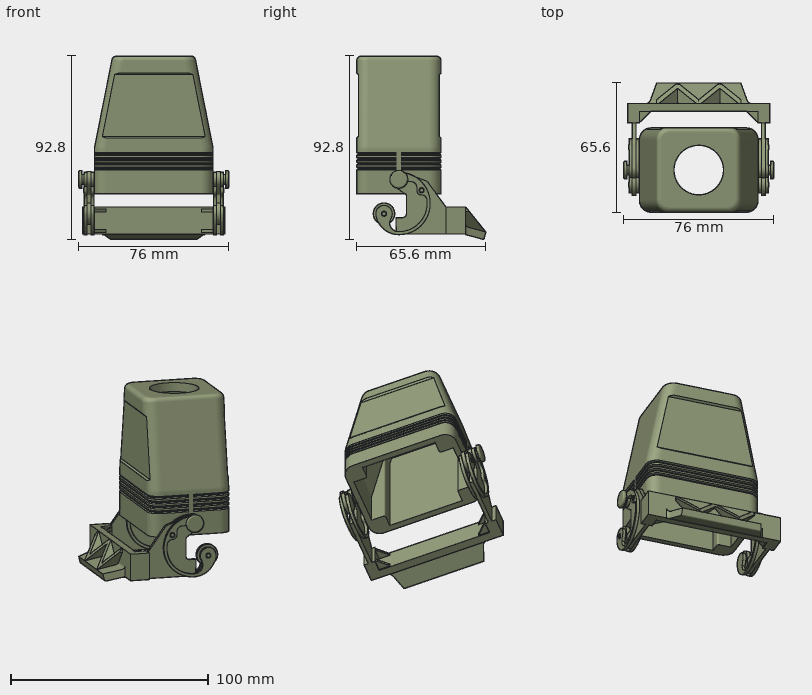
import cadquery as cq
import math

hood_width = 60.2
hood_depth = 42.9
hood_height = 69.8
taper_start = 23.2
taper_angle = 11.2
taper_blend_radius = 6.0
hood_corner_radius = 6.0
hood_top_radius = 2.5
wall = 3.0
roof = 4.6
cable_hole_diameter = 25.0

panel_bottom = 28.2
panel_top = 61.3
panel_depth = 0.9

groove_count = 4
groove_top_center = 20.2
groove_bottom_center = 12.8
groove_pitch = (groove_top_center - groove_bottom_center) / (groove_count - 1)
groove_mouth = 1.5
groove_floor = 0.5
groove_depth = 0.65
bridge_width = 2.8

post_face_x = 19.8
post_face_y = 12.2
post_radius = 1.0

pivot_z = 7.3
pin_radius = 2.5
pin_head_radius = 4.55
pin_head_thickness = 1.6
pin_head_round = 0.8
overall_width = 76.0

spring_inner_x = 30.2
spring_thickness = 1.6
middle_thickness = 1.95
middle_hub_radius = 4.1
spring_hub_radius = 3.7

spring_outer_bottom = -20.7
spring_inner_radius = 14.3
neck_radius = 4.7
hook_y = -7.5
hook_z = -10.0
hook_radius = 4.2
roller_radius = 5.5
lobe_y = 11.5
lobe_z = 1.9
lobe_radius = 2.4
lobe_blend_radius = 2.5
shoulder_z = 6.2
shoulder_radius = 3.0
rivet_radius = 1.3
rivet_height = 0.325
rivet_chamfer = 0.3

bar_length = 72.0
bar_top = -6.6
bar_bottom = -20.4
bar_back = 33.8
bar_front = 29.7
leg_front = 23.9
leg_inner_x = 30.1
gusset_length = 5.9
gusset_thickness = 1.6
gusset_inset = 0.9

plate_shoulder_y = 14.3
plate_shoulder_z = 6.4
plate_shoulder_radius = 1.9
jaw_y = 3.8
jaw_corner_z = -0.6
jaw_corner_radius = 0.9
jaw_floor_z = -12.0
jaw_floor_radius = 2.0
plate_tip_y = -1.6
plate_tip_drop = 2.7
plate_tip_lean = 0.4

tongue_tilt = 15.0
tongue_thickness = 4.0
tongue_tip_y = 44.1
tongue_tip_z = -19.3
tongue_tip_width = 42.7
tongue_root_width = 49.2
tongue_root_blend = 1.4
tongue_end_round = 0.65
trough_half_width = 10.7
trough_rim = 2.2
hollow_half_width = 9.4


def tapered_block(inset, top):
    """Sharp-edged block in the shape of the hood, shrunk on its sides by an inset."""
    half_width = hood_width / 2 - inset
    top_half_width = half_width - (top - taper_start) * math.tan(math.radians(taper_angle))
    depth = hood_depth - 2 * inset
    return (
        cq.Workplane("XZ", origin=(0, depth / 2, 0))
        .polyline([
            (-half_width, 0),
            (half_width, 0),
            (half_width, taper_start),
            (top_half_width, top),
            (-top_half_width, top),
            (-half_width, taper_start),
        ])
        .close()
        .extrude(depth)
    )


def hood_body():
    """Solid hood with every outer edge rounded."""
    body = tapered_block(0, hood_height)
    for side in (-1, 1):
        taper_edge = cq.selectors.NearestToPointSelector((side * hood_width / 2, 0, taper_start))
        body = body.edges("|Y").edges(taper_edge).fillet(taper_blend_radius)
    body = body.faces("<Y or >Y").edges("not(<Z or >Z)").fillet(hood_corner_radius)
    return body.faces(">Z").edges().fillet(hood_top_radius)


def panel_cutters():
    """Bars with 45 degree ends that recess the front and back faces."""
    face = hood_depth / 2
    profile = [
        (face, panel_bottom),
        (face, panel_top),
        (face - panel_depth, panel_top - panel_depth),
        (face - panel_depth, panel_bottom + panel_depth),
    ]
    back = cq.Workplane("YZ").polyline(profile).close().extrude(hood_width / 2, both=True)
    return back.union(back.mirror("XZ"))


def groove_cutter(center_z):
    """One trapezoidal groove running round the hood."""
    path = (
        cq.Workplane("XY", origin=(0, 0, center_z))
        .rect(hood_width, hood_depth)
        .extrude(groove_mouth)
        .edges("|Z")
        .fillet(hood_corner_radius)
        .faces("<Z")
        .wires()
        .val()
    )
    face = hood_depth / 2
    return (
        cq.Workplane("YZ")
        .polyline([
            (face, center_z - groove_mouth / 2),
            (face, center_z + groove_mouth / 2),
            (face - groove_depth, center_z + groove_floor / 2),
            (face - groove_depth, center_z - groove_floor / 2),
        ])
        .close()
        .sweep(cq.Workplane(path), transition="round")
    )


def cavity():
    """Inside of the hood, less the four corner posts."""
    ceiling = hood_height - roof
    inside = tapered_block(wall, ceiling)
    post_size = hood_width / 2 - post_face_x
    post_depth = hood_depth / 2 - post_face_y
    for side_x in (-1, 1):
        for side_y in (-1, 1):
            post = (
                cq.Workplane("XY")
                .center(side_x * (post_face_x + post_size / 2), side_y * (post_face_y + post_depth / 2))
                .rect(post_size, post_depth)
                .extrude(ceiling)
                .edges("|Z")
                .fillet(post_radius)
            )
            inside = inside.cut(post)
    return inside


def make_hood():
    hood = hood_body().cut(panel_cutters())
    for index in range(groove_count):
        hood = hood.cut(groove_cutter(groove_top_center - index * groove_pitch))
    bridge_height = groove_top_center - groove_bottom_center + groove_mouth
    bridge_center_z = (groove_top_center + groove_bottom_center) / 2
    for side in (-1, 1):
        bridge_x = side * (hood_width / 2 - groove_depth / 2)
        bridge = cq.Workplane("XY").box(groove_depth, bridge_width, bridge_height)
        hood = hood.union(bridge.translate((bridge_x, 0, bridge_center_z)))
    cable_hole = cq.Workplane("XY").circle(cable_hole_diameter / 2).extrude(hood_height)
    return hood.cut(cavity()).cut(cable_hole)


def side_plane(x):
    """YZ sketch plane at the given X."""
    return cq.Workplane("YZ", origin=(x, 0, 0))


def disc(x, y, z, radius, thickness):
    return side_plane(x).center(y, z).circle(radius).extrude(thickness)


def tangent_point(point, radius, side):
    """Point where a line from the given point touches a circle about the pivot."""
    distance = math.hypot(point[0], point[1] - pivot_z)
    bearing = math.atan2(point[1] - pivot_z, point[0])
    angle = bearing + side * math.acos(radius / distance)
    return (radius * math.cos(angle), pivot_z + radius * math.sin(angle))


def make_pin():
    head_back = overall_width / 2 - pin_head_thickness
    shaft_start = hood_width / 2 - wall / 2
    head = disc(head_back, 0, pivot_z, pin_head_radius, pin_head_thickness)
    head = head.faces(">X").edges().fillet(pin_head_round)
    return head.union(disc(shaft_start, 0, pivot_z, pin_radius, head_back - shaft_start))


def make_spring_plate(x):
    """Crescent from the pivot hub, past the riveted lobe, round to the hook."""
    outer_top = pivot_z + spring_hub_radius
    center_z = (outer_top + spring_outer_bottom) / 2
    outer_radius = outer_top - center_z

    rise = hook_z - spring_outer_bottom
    under_radius = (hook_y**2 + rise**2 - hook_radius**2) / (2 * (rise - hook_radius))
    under_z = spring_outer_bottom + under_radius
    under_end = math.atan2(hook_z - under_z, hook_y)
    under_middle = (under_end - math.pi / 2) / 2

    def under_point(angle):
        return (under_radius * math.cos(angle), under_z + under_radius * math.sin(angle))

    half = math.sqrt(0.5)
    neck_bottom = center_z - spring_inner_radius
    neck_z = neck_bottom + neck_radius
    lobe_bottom = lobe_z - lobe_radius
    lobe_side = lobe_y - lobe_radius
    blend_z = lobe_bottom - lobe_blend_radius
    blend_y = math.sqrt(spring_inner_radius**2 - (blend_z - center_z) ** 2)
    blend_mid_y = lobe_y + (blend_y - lobe_y) * half
    shoulder_y = lobe_side - shoulder_radius
    shoulder_center_z = shoulder_z - shoulder_radius

    crescent = (
        side_plane(x)
        .moveTo(0, outer_top)
        .threePointArc((outer_radius, center_z), (0, spring_outer_bottom))
        .threePointArc(under_point(under_middle), under_point(under_end))
        .lineTo(hook_y, hook_z)
        .lineTo(hook_y + hook_radius, hook_z)
        .lineTo(-neck_radius, neck_z)
        .threePointArc((-neck_radius * half, neck_z - neck_radius * half), (0, neck_bottom))
        .threePointArc(
            (spring_inner_radius * half, center_z - spring_inner_radius * half),
            (blend_y, blend_z),
        )
        .threePointArc((blend_mid_y, blend_z + lobe_blend_radius * half), (lobe_y, lobe_bottom))
        .threePointArc(
            (lobe_y - lobe_radius * half, lobe_z - lobe_radius * half),
            (lobe_side, lobe_z),
        )
        .lineTo(lobe_side, shoulder_center_z)
        .threePointArc(
            (shoulder_y + shoulder_radius * half, shoulder_center_z + shoulder_radius * half),
            (shoulder_y, shoulder_z),
        )
        .lineTo(0, shoulder_z)
        .close()
        .extrude(spring_thickness)
    )
    hub = disc(x, 0, pivot_z, spring_hub_radius, spring_thickness)
    hook = disc(x, hook_y, hook_z, hook_radius, spring_thickness)
    return crescent.union(hub).union(hook)


def make_middle_plate(x):
    """Plate from the crossbar up to the pivot hub, open at the jaw."""
    shoulder = (plate_shoulder_y, plate_shoulder_z)
    jaw_corner = (jaw_y, jaw_corner_z)
    plate = (
        side_plane(x)
        .polyline([
            (leg_front, bar_bottom),
            (leg_front, bar_top),
            shoulder,
            tangent_point(shoulder, middle_hub_radius, 1),
            (0, pivot_z),
            tangent_point(jaw_corner, middle_hub_radius, -1),
            jaw_corner,
            (jaw_y, jaw_floor_z),
            (plate_tip_y, jaw_floor_z),
            (plate_tip_y, jaw_floor_z - plate_tip_drop),
            (plate_tip_y + plate_tip_lean, bar_bottom),
        ])
        .close()
        .extrude(middle_thickness)
    )
    rounds = [
        (plate_shoulder_y, plate_shoulder_z, plate_shoulder_radius),
        (jaw_y, jaw_corner_z, jaw_corner_radius),
        (jaw_y, jaw_floor_z, jaw_floor_radius),
    ]
    for y, z, radius in rounds:
        corner = cq.selectors.NearestToPointSelector((x + middle_thickness / 2, y, z))
        plate = plate.edges("|X").edges(corner).fillet(radius)
    return plate.union(disc(x, 0, pivot_z, middle_hub_radius, middle_thickness))


def make_arm():
    """Lever arm on the +X side, with its pivot pin."""
    middle_x = spring_inner_x + spring_thickness
    outer_x = middle_x + middle_thickness
    arm = make_middle_plate(middle_x)
    arm = arm.union(disc(middle_x, hook_y, hook_z, roller_radius, middle_thickness))
    arm = arm.union(make_spring_plate(spring_inner_x))
    arm = arm.union(make_spring_plate(outer_x))
    for y, z in ((lobe_y, lobe_z), (hook_y, hook_z)):
        rivet = disc(outer_x + spring_thickness, y, z, rivet_radius, rivet_height)
        arm = arm.union(rivet.faces(">X").edges().chamfer(rivet_chamfer))
    return arm.union(make_pin())


def make_crossbar():
    half_length = bar_length / 2
    bar = (
        cq.Workplane("XY", origin=(0, 0, bar_bottom))
        .polyline([
            (-half_length, bar_back),
            (half_length, bar_back),
            (half_length, leg_front),
            (leg_inner_x, leg_front),
            (leg_inner_x, bar_front),
            (-leg_inner_x, bar_front),
            (-leg_inner_x, leg_front),
            (-half_length, leg_front),
        ])
        .close()
        .extrude(bar_top - bar_bottom)
    )
    gusset_levels = (bar_bottom + gusset_inset, bar_top - gusset_inset - gusset_thickness)
    for level in gusset_levels:
        for side in (-1, 1):
            gusset = (
                cq.Workplane("XY", origin=(0, 0, level))
                .polyline([
                    (side * leg_inner_x, bar_front),
                    (side * leg_inner_x, leg_front),
                    (side * (leg_inner_x - gusset_length), bar_front),
                ])
                .close()
                .extrude(gusset_thickness)
            )
            bar = bar.union(gusset)
    return bar


def make_tongue():
    """Tilted tongue narrowing to its tip, blended into the crossbar."""
    tilt = math.radians(tongue_tilt)
    slope = math.tan(tilt)
    heel_y = tongue_tip_y - tongue_thickness * math.sin(tilt)
    heel_z = tongue_tip_z - tongue_thickness * math.cos(tilt)
    blend_y = bar_back + tongue_root_blend
    blend_z = tongue_tip_z + (tongue_tip_y - blend_y) * slope
    root_top = blend_z + tongue_root_blend * (1 + slope)
    root_bottom = heel_z + (heel_y - bar_back) * slope
    side_shape = (
        cq.Workplane("YZ")
        .moveTo(bar_back, root_bottom)
        .lineTo(heel_y, heel_z)
        .lineTo(tongue_tip_y, tongue_tip_z)
        .lineTo(blend_y, blend_z)
        .tangentArcPoint((bar_back, root_top), relative=False)
        .lineTo(bar_front, root_top)
        .lineTo(bar_front, bar_bottom)
        .lineTo(bar_back, bar_bottom)
        .close()
        .extrude(bar_length / 2, both=True)
        .edges("|X and <Z")
        .fillet(tongue_end_round)
    )
    tip = tongue_tip_width / 2
    root = tongue_root_width / 2
    half_plan = (
        cq.Workplane("XY", origin=(0, 0, heel_z))
        .moveTo(0, tongue_tip_y)
        .lineTo(tip, tongue_tip_y)
        .lineTo(root, blend_y)
        .tangentArcPoint((root + tongue_root_blend, bar_back), relative=False)
        .lineTo(root + tongue_root_blend, bar_front)
        .lineTo(0, bar_front)
        .close()
        .extrude(root_top - heel_z)
    )
    return side_shape.intersect(half_plan.union(half_plan.mirror("YZ")))


def make_troughs():
    """Two V-shaped troughs with 45 degree walls, cut off by a slope from the crossbar to the tongue tip."""
    rim_bottom = bar_top - trough_rim
    keel_half_width = trough_half_width - (rim_bottom - tongue_tip_z)
    section = [
        (-trough_half_width, bar_top),
        (-hollow_half_width, bar_top),
        (0, bar_top - hollow_half_width),
        (hollow_half_width, bar_top),
        (trough_half_width, bar_top),
        (trough_half_width, rim_bottom),
        (keel_half_width, tongue_tip_z),
        (-keel_half_width, tongue_tip_z),
        (-trough_half_width, rim_bottom),
    ]
    slope_shape = (
        cq.Workplane("YZ")
        .polyline([(bar_back, bar_top), (tongue_tip_y, tongue_tip_z), (bar_back, tongue_tip_z)])
        .close()
        .extrude(bar_length / 2, both=True)
    )
    trough = (
        cq.Workplane("XZ", origin=(trough_half_width, bar_back, 0))
        .polyline(section)
        .close()
        .extrude(bar_back - tongue_tip_y)
        .intersect(slope_shape)
    )
    return trough.union(trough.mirror("YZ"))


arm = make_arm()
lever = make_crossbar().union(make_tongue()).union(make_troughs())
result = make_hood().union(lever).union(arm).union(arm.mirror("YZ"))